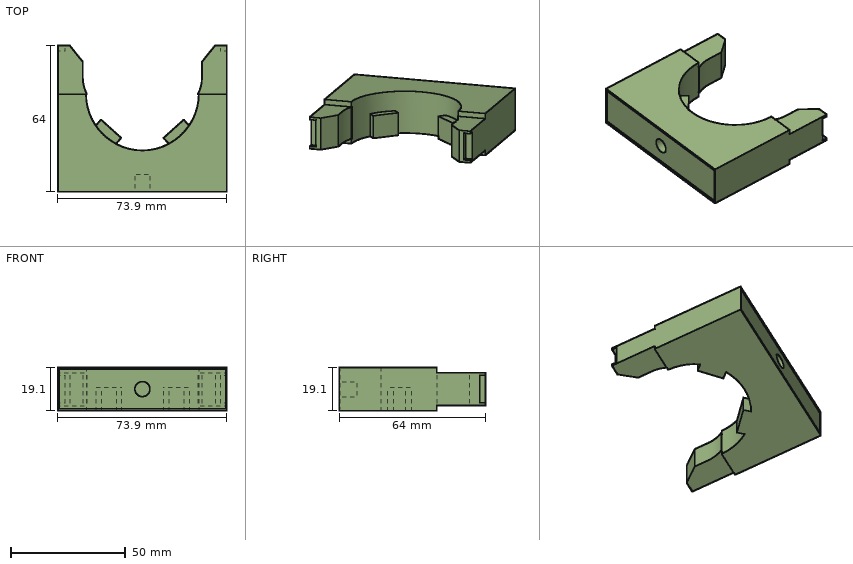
import cadquery as cq
import math

width = 73.9
depth = 64.0
height = 19.1
body_depth = 42.7
arm_height = 14.4

seat_radius = 24.6

arm_gap = 52.0
throat_gap = 48.5
throat_rise = 7.25
tip_width = 5.2
lead_in_length = 7.2

notch_depth_x = 2.95
notch_depth_y = 2.45
notch_height = 12.1

pad_width = 12.0
pad_distance = 20.4
pad_angle = 48.0
pad_top = 0.75
pad_root = 1.5

rim_side = 0.6
rim_top = 0.9
recess_depth = 0.3
hole_diameter = 6.6
hole_depth = 7.4


def centred_box(size_x, size_y, size_z):
    """Box centred on X and Z, starting at y = 0."""
    return cq.Workplane("XY").box(size_x, size_y, size_z, centered=(True, False, True))


def make_arm():
    """Right-hand arm with its curved throat, lead-in slope and tip notch."""
    outer = width / 2
    gap_x = arm_gap / 2
    throat_x = throat_gap / 2
    run = gap_x - throat_x
    radius = (run**2 + throat_rise**2) / (2 * run)
    half_sweep = math.asin(throat_rise / radius) / 2
    arc_end_y = body_depth + throat_rise
    arc_middle = (
        gap_x - radius * (1 - math.cos(half_sweep)),
        arc_end_y - radius * math.sin(half_sweep),
    )
    arm = (
        cq.Workplane("XY", origin=(0, 0, -arm_height / 2))
        .moveTo(outer, body_depth)
        .lineTo(outer, depth)
        .lineTo(outer - tip_width, depth)
        .lineTo(gap_x, depth - lead_in_length)
        .lineTo(gap_x, arc_end_y)
        .threePointArc(arc_middle, (throat_x, body_depth))
        .close()
        .extrude(arm_height)
    )
    notch = centred_box(2 * notch_depth_x, notch_depth_y, notch_height)
    return arm.cut(notch.translate((outer, depth - notch_depth_y, 0)))


def make_pad():
    """Right-hand pad, facing the seat axis and reaching down to the underside."""
    pad_length = seat_radius + pad_root - pad_distance
    pad_height = pad_top + height / 2
    return (
        cq.Workplane("XY")
        .box(pad_length, pad_width, pad_height, centered=(False, True, False))
        .translate((pad_distance, 0, -height / 2))
        .rotate((0, 0, 0), (0, 0, 1), -pad_angle)
        .translate((0, body_depth, 0))
    )


seat = cq.Workplane("XY", origin=(0, body_depth, -height / 2)).circle(seat_radius).extrude(height)
result = centred_box(width, body_depth, height).cut(seat)

for feature in (make_arm(), make_pad()):
    result = result.union(feature).union(feature.mirror("YZ"))

result = result.cut(centred_box(width - 2 * rim_side, recess_depth, height - 2 * rim_top))
hole = cq.Workplane("XZ").circle(hole_diameter / 2).extrude(-(recess_depth + hole_depth))
result = result.cut(hole)